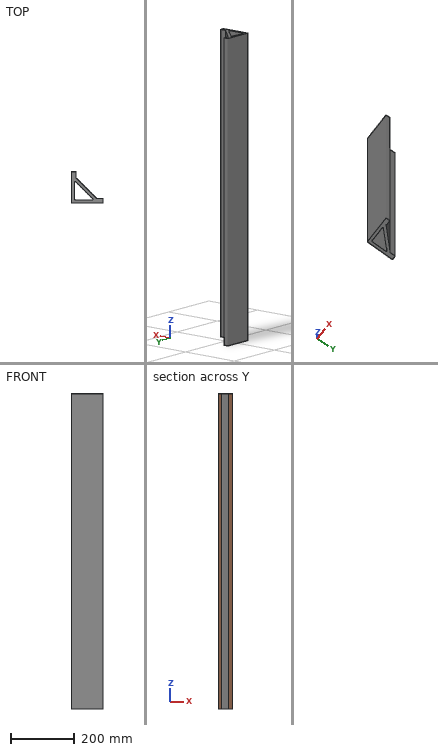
import cadquery as cq
import math

LEG_LENGTH = 100.0
BAR_HEIGHT = 1000.0
FLANGE_THICKNESS = 15.0
FLANGE_LENGTH = 20.0
WALL_THICKNESS = 10.0
WEB_THICKNESS = 10.0
CAVITY_RADIUS = 2.0
EDGE_RADIUS = 0.5

web_end = LEG_LENGTH - FLANGE_LENGTH
outer_face_sum = web_end + FLANGE_THICKNESS
inner_face_sum = outer_face_sum - WEB_THICKNESS * math.sqrt(2)
cavity_end = inner_face_sum - WALL_THICKNESS


def round_vertical_edges(body, corners, radius):
    """Round the vertical edges that stand at the given (x, y) corners."""
    mid_height = BAR_HEIGHT / 2
    for x, y in corners:
        edge = cq.selectors.NearestToPointSelector((x, y, mid_height))
        body = body.edges("|Z").edges(edge).fillet(radius)
    return body


def make_body():
    """Right-angle bar with two end flanges joined by a sloping web."""
    heel = (0, 0)
    x_flange_tip = [(LEG_LENGTH, 0), (LEG_LENGTH, FLANGE_THICKNESS)]
    web_corners = [(web_end, FLANGE_THICKNESS), (FLANGE_THICKNESS, web_end)]
    y_flange_tip = [(FLANGE_THICKNESS, LEG_LENGTH), (0, LEG_LENGTH)]

    outline = [heel] + x_flange_tip + web_corners + y_flange_tip
    body = cq.Workplane("XY").polyline(outline).close().extrude(BAR_HEIGHT)

    outside_corners = [heel] + x_flange_tip + y_flange_tip
    return round_vertical_edges(body, outside_corners, EDGE_RADIUS)


def make_cavity():
    """Triangular cavity through the whole height, with rounded corners."""
    outline = [
        (WALL_THICKNESS, WALL_THICKNESS),
        (cavity_end, WALL_THICKNESS),
        (WALL_THICKNESS, cavity_end),
    ]
    cavity = cq.Workplane("XY").polyline(outline).close().extrude(BAR_HEIGHT)
    return cavity.edges("|Z").fillet(CAVITY_RADIUS)


result = make_body().cut(make_cavity())